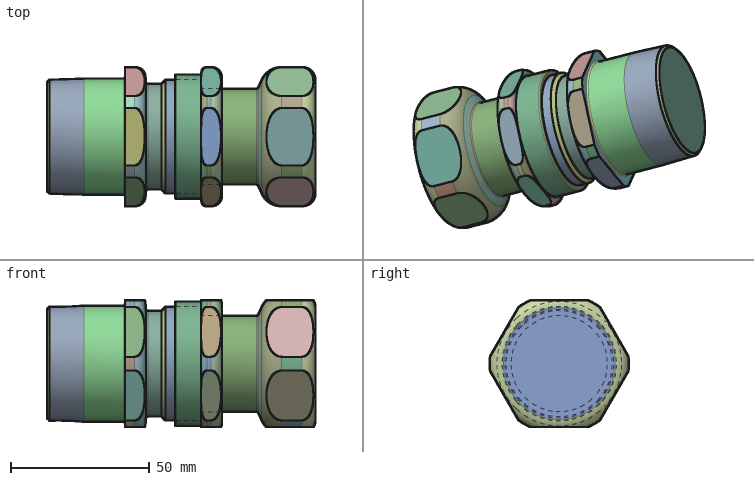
import cadquery as cq
import math


overall_length = 97.3
corner_radius = 50.5 / 2
across_flats = 46.0
corner_round = 4.0
small_fillet = 0.5
narrow_hex_width = 7.6

barrel_radius = 42.1 / 2
barrel_tip_radius = 41.3 / 2
tip_chamfer = 1.0
taper_end = 13.4
entry_hex_start = 28.2
relief_radius = 38.4 / 2
spigot_radius = 41.2 / 2
spigot_start = 42.9
relief_fillet = 0.8

collar_radius = 45.1 / 2
collar_start = 46.4
sleeve_hex_start = 55.8
sleeve_front_round = 2.0

neck_radius = 34.8 / 2
cone_angle = math.radians(65)
nut_cone_corner = 76.3
nut_front_round = 8.0
nut_rear_round = 5.0

entry_hex_end = entry_hex_start + narrow_hex_width
sleeve_hex_end = sleeve_hex_start + narrow_hex_width
spigot_end = sleeve_hex_start
neck_start = spigot_end


def arc_point(center_x, center_r, radius, angle):
    """Point on a circle in the profile plane, angle measured from +X."""
    return (center_x + radius * math.cos(angle), center_r + radius * math.sin(angle))


def rounded(profile, center_x, center_r, radius, from_degrees, to_degrees):
    """Add a straight line to the arc's first point, then the arc itself."""
    first, middle, last = (
        arc_point(center_x, center_r, radius, math.radians(degrees))
        for degrees in (from_degrees, (from_degrees + to_degrees) / 2, to_degrees)
    )
    return profile.lineTo(*first).threePointArc(middle, last)


def turn(profile):
    """Revolve a closed half profile about the X axis."""
    return profile.close().revolve(360, (0, 0, 0), (1, 0, 0))


def mill_flats(body):
    """Cut the six flats by keeping only what lies inside a hexagonal bar."""
    corner_to_corner = across_flats / math.cos(math.radians(30))
    bar = cq.Workplane("YZ").polygon(6, corner_to_corner).extrude(overall_length)
    return body.intersect(bar)


def make_entry():
    profile = (
        cq.Workplane("XY")
        .lineTo(0, barrel_tip_radius - tip_chamfer)
        .lineTo(tip_chamfer, barrel_tip_radius)
        .lineTo(taper_end, barrel_radius)
    )
    profile = rounded(
        profile, entry_hex_start - small_fillet, barrel_radius + small_fillet, small_fillet, -90, 0
    )
    profile = profile.lineTo(entry_hex_start, corner_radius)
    profile = rounded(
        profile, entry_hex_end - corner_round, corner_radius - corner_round, corner_round, 90, 0
    )
    profile = rounded(
        profile, entry_hex_end + relief_fillet, relief_radius + relief_fillet, relief_fillet, 180, 270
    )
    profile = (
        profile.lineTo(spigot_start - (spigot_radius - relief_radius), relief_radius)
        .lineTo(spigot_start, spigot_radius)
        .lineTo(spigot_end, spigot_radius)
        .lineTo(spigot_end, 0)
    )
    return mill_flats(turn(profile))


def make_sleeve():
    profile = cq.Workplane("XY").moveTo(collar_start, spigot_radius)
    profile = rounded(
        profile, collar_start + small_fillet, collar_radius - small_fillet, small_fillet, 180, 90
    )
    profile = profile.lineTo(sleeve_hex_start, collar_radius)
    profile = rounded(
        profile,
        sleeve_hex_start + sleeve_front_round,
        corner_radius - sleeve_front_round,
        sleeve_front_round,
        180,
        90,
    )
    profile = rounded(
        profile, sleeve_hex_end - corner_round, corner_radius - corner_round, corner_round, 90, 0
    )
    profile = (
        profile.lineTo(sleeve_hex_end, neck_radius)
        .lineTo(neck_start, neck_radius)
        .lineTo(spigot_end, spigot_radius)
    )
    return mill_flats(turn(profile))


def make_clamp_nut():
    cone_degrees = math.degrees(cone_angle)

    fillet_x = nut_cone_corner - small_fillet * math.tan(cone_angle / 2)
    fillet_r = neck_radius + small_fillet

    round_r = corner_radius - nut_front_round
    tangent_r = round_r + nut_front_round * math.cos(cone_angle)
    tangent_x = nut_cone_corner + (tangent_r - neck_radius) / math.tan(cone_angle)
    round_x = tangent_x + nut_front_round * math.sin(cone_angle)

    profile = cq.Workplane("XY").moveTo(neck_start, 0).lineTo(neck_start, neck_radius)
    profile = rounded(profile, fillet_x, fillet_r, small_fillet, -90, cone_degrees - 90)
    profile = rounded(profile, round_x, round_r, nut_front_round, 90 + cone_degrees, 90)
    profile = rounded(
        profile, overall_length - nut_rear_round, corner_radius - nut_rear_round, nut_rear_round, 90, 0
    )
    profile = profile.lineTo(overall_length, 0)
    return mill_flats(turn(profile))


entry = make_entry()
sleeve = make_sleeve()
clamp_nut = make_clamp_nut()

result = cq.Compound.makeCompound([entry.val(), sleeve.val(), clamp_nut.val()])